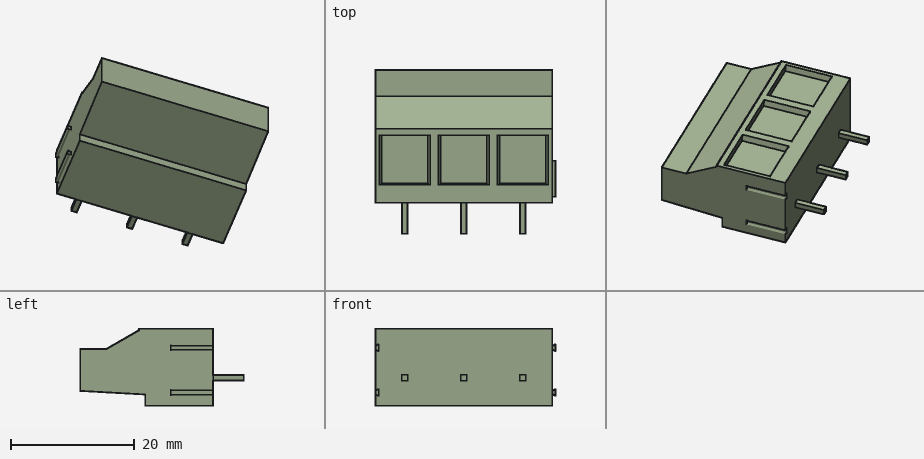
import cadquery as cq
import math

overall_width = 29.15
pole_count = 3
pole_pitch = 9.54
body_width = pole_count * pole_pitch
body_depth = 21.52
body_height = 12.5

top_face_depth = 12.0
top_lip_drop = 0.25
rear_top_start = 17.23
rear_top_z = 9.25
foot_depth = 11.0
foot_step_z = 1.85
rear_bottom_z = 2.42

pocket_width = 8.22
pocket_length = 8.0
pocket_front_y = 2.95
pocket_depth = 1.0
pocket_side_taper = 0.38
pocket_floor_bevel = 0.2

pin_size = 0.93
pin_length = 5.0
pin_z = 4.58

dovetail_heights = (2.2, 9.42)
dovetail_projection = overall_width - body_width
dovetail_neck = 0.55
dovetail_flare_angle = 30
dovetail_radius = 0.1
dovetail_base_thickness = 0.3
dovetail_end_y = 6.82
rib_start_y = 1.0


def pole_center(index):
    return (index + 0.5) * pole_pitch


def make_housing():
    profile = [
        (0, 0),
        (foot_depth, 0),
        (foot_depth, foot_step_z),
        (body_depth, rear_bottom_z),
        (body_depth, rear_top_z),
        (rear_top_start, rear_top_z),
        (top_face_depth, body_height - top_lip_drop),
        (top_face_depth, body_height),
        (0, body_height),
    ]
    return cq.Workplane("YZ").polyline(profile).close().extrude(body_width)


def make_pocket(center_x):
    """Recess with leaning side walls, upright end walls and a bevel along the front of its floor."""
    floor_z = body_height - pocket_depth
    rear_y = pocket_front_y + pocket_length
    mouth_half = pocket_width / 2
    floor_half = mouth_half - pocket_side_taper
    cross_section = [
        (-mouth_half, body_height),
        (-floor_half, floor_z),
        (floor_half, floor_z),
        (mouth_half, body_height),
    ]
    side_section = [
        (pocket_front_y, body_height),
        (pocket_front_y, floor_z + pocket_floor_bevel),
        (pocket_front_y + pocket_floor_bevel, floor_z),
        (rear_y, floor_z),
        (rear_y, body_height),
    ]
    tapered = cq.Workplane("XZ").polyline(cross_section).close().extrude(-body_depth)
    beveled = cq.Workplane("YZ").polyline(side_section).close().extrude(mouth_half, both=True)
    return tapered.intersect(beveled).translate((center_x, 0, 0))


def make_pin(center_x):
    return (
        cq.Workplane("XZ", origin=(center_x, 0, pin_z))
        .rect(pin_size, pin_size)
        .extrude(pin_length)
    )


def make_dovetail(neck_x, center_z, start_y):
    """Rounded prism along Y that widens toward +X, on a base strip lying just behind neck_x."""
    neck_half = dovetail_neck / 2
    wide_half = neck_half + dovetail_projection * math.tan(math.radians(dovetail_flare_angle))
    section = [
        (-dovetail_base_thickness, -wide_half),
        (0, -wide_half),
        (0, -neck_half),
        (dovetail_projection, -wide_half),
        (dovetail_projection, wide_half),
        (0, neck_half),
        (0, wide_half),
        (-dovetail_base_thickness, wide_half),
    ]
    neck_edges = cq.selectors.BoxSelector(
        (-dovetail_base_thickness / 2, -dovetail_end_y, -dovetail_neck),
        (dovetail_projection / 2, dovetail_end_y, dovetail_neck),
    )
    return (
        cq.Workplane("XZ")
        .polyline(section)
        .close()
        .extrude(start_y - dovetail_end_y)
        .edges("|Y")
        .edges(neck_edges)
        .fillet(dovetail_radius)
        .edges("|Y and >X")
        .fillet(dovetail_radius)
        .translate((neck_x, start_y, center_z))
    )


result = make_housing()

for pole in range(pole_count):
    result = result.cut(make_pocket(pole_center(pole)))
    result = result.union(make_pin(pole_center(pole)))

for height in dovetail_heights:
    result = result.cut(make_dovetail(0, height, 0))
    result = result.union(make_dovetail(body_width, height, rib_start_y))